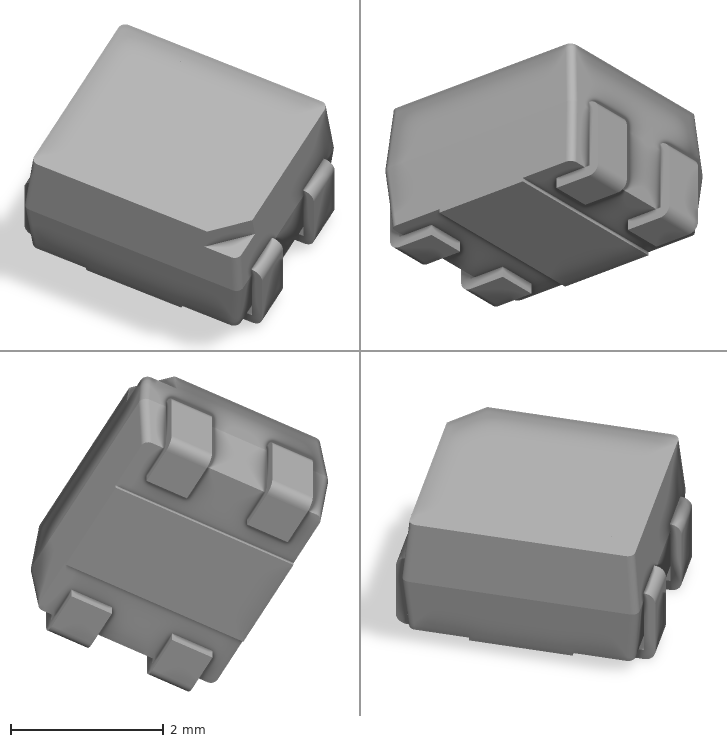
import cadquery as cq
import math

total_length = 3.5
body_width = 2.8
total_height = 1.9

lead_thickness = 0.15
lead_width = 0.602
lead_pitch = 1.498
lead_top = 1.1
foot_length = 0.7
tab_length = 2 * lead_thickness

body_length = total_length - 2 * lead_thickness
body_bottom = lead_thickness
parting_height = 0.998
draft_angle = 5.0
corner_radius = 0.1

pad_length = 1.4
pad_bottom = 0.1

notch_leg = 0.44
notch_depth = 0.3

lens_length = 2.65
lens_width = 2.15
lens_corner_radius = 0.51
lens_bottom = parting_height


def drafted_half(height):
    """Half of the housing, drawn in from the parting plane by the draft angle; height is signed."""
    return (
        cq.Workplane("XY")
        .workplane(offset=parting_height)
        .rect(body_length, body_width)
        .extrude(height, taper=draft_angle)
        .edges("not #Z")
        .fillet(corner_radius)
    )


def pin_one_notch():
    """Triangular prism across the +X, -Y top corner, sized by its legs on the top face.

    Its sloping side is the plane x - y = diagonal_sum.
    """
    top_inset = (total_height - parting_height) * math.tan(math.radians(draft_angle))
    diagonal_sum = body_length / 2 + body_width / 2 - 2 * top_inset - notch_leg
    corner_x = body_length / 2
    corner_y = body_width / 2
    return (
        cq.Workplane("XY")
        .workplane(offset=total_height - notch_depth)
        .moveTo(corner_x, -corner_y)
        .lineTo(corner_x, corner_x - diagonal_sum)
        .lineTo(diagonal_sum - corner_y, -corner_y)
        .close()
        .extrude(notch_depth)
    )


def foot_recess(side):
    """Block that relieves the underside beyond the pad, on the +X (side = 1) or -X (side = -1) end."""
    recess_length = (total_length - pad_length) / 2
    return (
        cq.Workplane("XY")
        .center(side * (pad_length + recess_length) / 2, 0)
        .rect(recess_length, body_width)
        .extrude(body_bottom)
    )


def lead(side, y_center):
    """C-shaped lead on the +X (side = 1) or -X (side = -1) end.

    A tab enters the housing level with the parting plane, an upright runs down and a foot turns inward.
    """
    outer_x = side * total_length / 2
    inner_x = outer_x - side * lead_thickness
    tab_end_x = outer_x - side * tab_length
    foot_end_x = outer_x - side * foot_length
    tab_underside = lead_top - lead_thickness
    return (
        cq.Workplane("XZ", origin=(0, y_center, 0))
        .moveTo(foot_end_x, 0)
        .lineTo(inner_x, 0)
        .radiusArc((outer_x, lead_thickness), -side * lead_thickness)
        .lineTo(outer_x, tab_underside)
        .radiusArc((inner_x, lead_top), -side * lead_thickness)
        .lineTo(tab_end_x, lead_top)
        .lineTo(tab_end_x, tab_underside)
        .lineTo(inner_x, tab_underside)
        .lineTo(inner_x, lead_thickness)
        .lineTo(foot_end_x, lead_thickness)
        .close()
        .extrude(lead_width / 2, both=True)
    )


def make_lens():
    """Rounded rectangular block, flush with the top of the housing."""
    return (
        cq.Workplane("XY")
        .workplane(offset=lens_bottom)
        .rect(lens_length, lens_width)
        .extrude(total_height - lens_bottom)
        .edges("|Z")
        .fillet(lens_corner_radius)
    )


def make_housing(lens):
    """Moulded body with its leads, hollowed to receive the lens."""
    housing = drafted_half(total_height - parting_height)
    housing = housing.union(drafted_half(pad_bottom - parting_height))
    housing = housing.cut(pin_one_notch())
    for side in (-1, 1):
        housing = housing.cut(foot_recess(side))
        for y_center in (-lead_pitch / 2, lead_pitch / 2):
            housing = housing.union(lead(side, y_center))
    return housing.cut(lens)


lens = make_lens()
housing = make_housing(lens)

result = cq.Compound.makeCompound([*housing.solids().vals(), lens.val()])